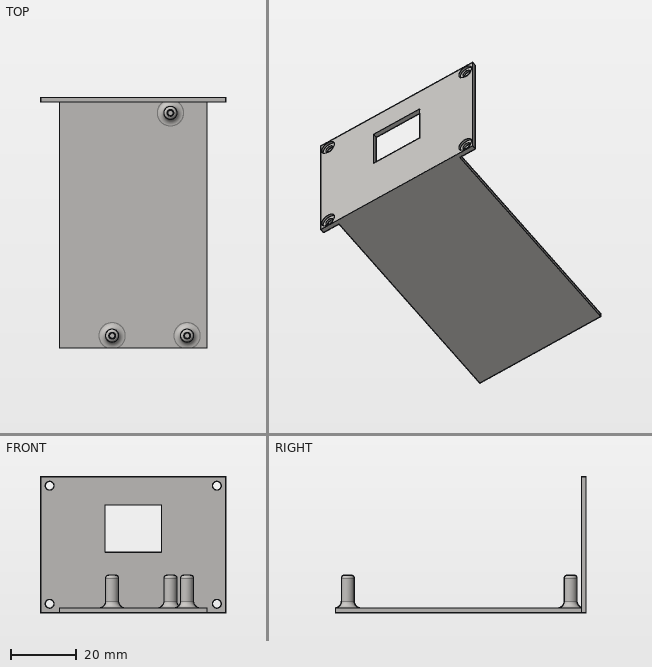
import cadquery as cq
import math

PANEL_WIDTH = 56.5
PANEL_HEIGHT = 41.5
TOTAL_DEPTH = 76.5
SHEET = 1.5

PANEL_HOLE_DIAMETER = 2.6
PANEL_COUNTERBORE_DIAMETER = 4.7
PANEL_COUNTERBORE_DEPTH = SHEET / 2
PANEL_HOLE_SPACING_X = 51.0
PANEL_HOLE_SPACING_Z = 36.0
WINDOW_WIDTH = 17.1
WINDOW_HEIGHT = 14.3
WINDOW_BOTTOM = 18.5

BASE_WIDTH = 45.0
BASE_LENGTH = TOTAL_DEPTH - SHEET

POST_DIAMETER = 4.0
POST_HEIGHT = 10.0
FOOT_RADIUS = 2.0
MOUTH_DIAMETER = 2.07
MOUTH_DEPTH = 0.4
BORE_DIAMETER = 1.62

FRONT_ROW_Y = 3.81
ROW_SPACING = 67.945
LEFT_POST_X = -6.44
FRONT_POST_SPACING = 22.86
REAR_POST_OFFSET = 17.78

POSTS = [
    (LEFT_POST_X, FRONT_ROW_Y),
    (LEFT_POST_X + FRONT_POST_SPACING, FRONT_ROW_Y),
    (LEFT_POST_X + REAR_POST_OFFSET, FRONT_ROW_Y + ROW_SPACING),
]


def make_base():
    """Flat plate from the front edge to the panel, centred on X, underside at Z = 0."""
    return cq.Workplane("XY").box(BASE_WIDTH, BASE_LENGTH, SHEET, centered=(True, False, False))


def make_corner_cylinders(diameter, depth):
    """Four cylinders at the corner holes, running forward from the panel's rear face."""
    return (
        cq.Workplane("XZ", origin=(0, TOTAL_DEPTH, PANEL_HEIGHT / 2))
        .rect(PANEL_HOLE_SPACING_X, PANEL_HOLE_SPACING_Z, forConstruction=True)
        .vertices()
        .circle(diameter / 2)
        .extrude(depth)
    )


def make_panel():
    """Upright panel behind the base, with counterbored corner holes and a rectangular window."""
    panel = (
        cq.Workplane("XY")
        .box(PANEL_WIDTH, SHEET, PANEL_HEIGHT, centered=(True, False, False))
        .translate((0, BASE_LENGTH, 0))
    )
    holes = make_corner_cylinders(PANEL_HOLE_DIAMETER, SHEET)
    counterbores = make_corner_cylinders(PANEL_COUNTERBORE_DIAMETER, PANEL_COUNTERBORE_DEPTH)
    window = (
        cq.Workplane("XZ", origin=(0, TOTAL_DEPTH, WINDOW_BOTTOM + WINDOW_HEIGHT / 2))
        .rect(WINDOW_WIDTH, WINDOW_HEIGHT)
        .extrude(SHEET)
    )
    return panel.cut(holes).cut(counterbores).cut(window)


def make_post():
    """Standoff on the Z axis standing on Z = 0: flared foot, rounded rim and stepped bore."""
    radius = POST_DIAMETER / 2
    mouth_radius = MOUTH_DIAMETER / 2
    bore_radius = BORE_DIAMETER / 2
    rounding = radius - mouth_radius
    mouth_floor = POST_HEIGHT - MOUTH_DEPTH
    flare_sag = FOOT_RADIUS * (1 - math.sqrt(0.5))
    rounding_sag = rounding * (1 - math.sqrt(0.5))
    return (
        cq.Workplane("XZ")
        .moveTo(bore_radius, 0)
        .lineTo(radius + FOOT_RADIUS, 0)
        .threePointArc((radius + flare_sag, flare_sag), (radius, FOOT_RADIUS))
        .lineTo(radius, POST_HEIGHT - rounding)
        .threePointArc(
            (radius - rounding_sag, POST_HEIGHT - rounding_sag),
            (mouth_radius, POST_HEIGHT),
        )
        .lineTo(mouth_radius, mouth_floor)
        .lineTo(bore_radius, mouth_floor)
        .close()
        .revolve(360, (0, 0, 0), (0, 1, 0))
    )


def make_posts():
    """All standoffs on the base, with their feet trimmed to the plate outline."""
    posts = cq.Workplane("XY")
    for x, y in POSTS:
        posts = posts.add(make_post().translate((x, y, SHEET)))
    envelope = cq.Workplane("XY").box(
        BASE_WIDTH, BASE_LENGTH, PANEL_HEIGHT, centered=(True, False, False)
    )
    return posts.combine().intersect(envelope)


result = make_base().union(make_panel()).union(make_posts())